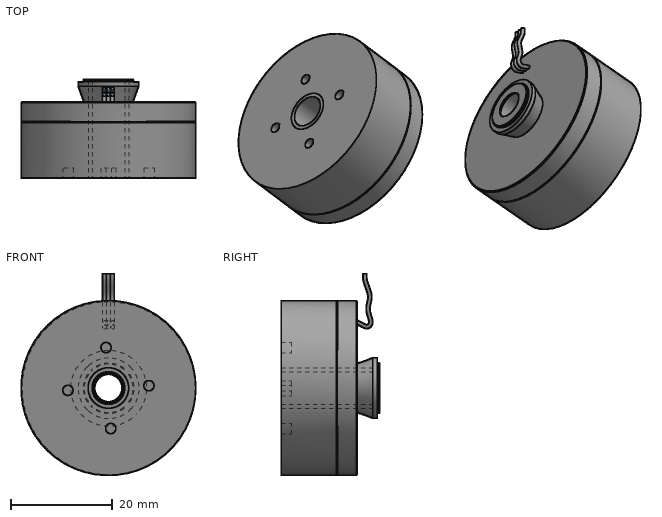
import cadquery as cq
import math


rotor_length = 10.9
air_gap = 0.2
base_front = rotor_length + air_gap
base_back = 15.0
rim_front = 18.1
sleeve_length = 18.98
total_length = 19.5

motor_diameter = 34.5
sleeve_outer = 8.0
sleeve_bore = 6.45
spacer_diameter = 14.95
hub_root_diameter = 9.7
hub_rim_diameter = 11.98
cap_diameter = 10.0
cap_bore = 5.37

base_chamfer = 0.2
cap_chamfer = 0.2
cap_bore_chamfer = 0.25

mount_hole_count = 4
mount_hole_diameter = 2.03
mount_hole_depth = 2.0
mount_circle_radius = 8.0
mount_first_angle = 3.3

overall_height = 39.8
wire_top = overall_height - motor_diameter / 2
wire_count = 3
wire_diameter = 0.8
wire_path = [
    (14.2, 13.3),
    (15.0, 12.95),
    (16.1, 12.37),
    (17.1, 12.1),
    (17.63, 12.6),
    (17.55, 13.8),
    (17.15, 15.68),
    (17.5, 17.9),
    (16.95, 20.05),
    (16.5, 21.65),
    (16.5, wire_top),
]


def disc(diameter, start, end):
    """Solid disc on the motor axis between two Y stations."""
    plane = cq.Workplane("XZ", origin=(0, end, 0))
    return plane.circle(diameter / 2).extrude(end - start)


def ring(outer, inner, start, end):
    """Disc with a concentric bore."""
    return disc(outer, start, end).cut(disc(inner, start, end))


def make_rotor():
    """Outer drum with blind mounting holes around the sleeve."""
    rotor = ring(motor_diameter, sleeve_outer, 0, rotor_length)
    for index in range(mount_hole_count):
        angle = math.radians(mount_first_angle + index * 360 / mount_hole_count)
        hole = disc(mount_hole_diameter, 0, mount_hole_depth).translate(
            (mount_circle_radius * math.cos(angle), 0, mount_circle_radius * math.sin(angle))
        )
        rotor = rotor.cut(hole)
    return rotor


def make_base():
    """Fixed plate behind the rotor, with a chamfered back rim."""
    plate = disc(motor_diameter, base_front, base_back).faces(">Y").edges().chamfer(base_chamfer)
    return plate.cut(disc(sleeve_outer, base_front, base_back))


def make_hub():
    """Conical hub that widens to a short cylindrical rim, turned about the motor axis."""
    profile = [
        (sleeve_outer / 2, base_back),
        (hub_root_diameter / 2, base_back),
        (hub_rim_diameter / 2, rim_front),
        (hub_rim_diameter / 2, sleeve_length),
        (sleeve_outer / 2, sleeve_length),
    ]
    return cq.Workplane("XY").polyline(profile).close().revolve(360, (0, 0, 0), (0, 1, 0))


def make_cap():
    """End ring against the hub and the sleeve, chamfered outside and at the bore entry."""
    cap = disc(cap_diameter, sleeve_length, total_length).faces(">Y").edges().chamfer(cap_chamfer)
    cap = cap.cut(disc(cap_bore, sleeve_length, total_length))
    bore_entry = cap.faces("<Y").edges(cq.selectors.RadiusNthSelector(0))
    return bore_entry.chamfer(cap_bore_chamfer)


def make_wire(x):
    """Round wire swept along its bent centreline, trimmed at the base plate, with a level free end."""
    start_y, start_z = wire_path[0]
    next_y, next_z = wire_path[1]
    start_direction = (next_y - start_y, next_z - start_z)
    end_direction = (0, 1)
    path = cq.Workplane("YZ", origin=(x, 0, 0)).spline(wire_path, tangents=[start_direction, end_direction])
    start_plane = cq.Plane(
        origin=(x, start_y, start_z),
        xDir=(1, 0, 0),
        normal=(0, *start_direction),
    )
    wire = cq.Workplane(start_plane).circle(wire_diameter / 2).sweep(path)
    return wire.cut(disc(motor_diameter, 0, base_back))


rotor = make_rotor()
sleeve = ring(sleeve_outer, sleeve_bore, 0, sleeve_length)
spacer = ring(spacer_diameter, sleeve_outer, rotor_length, base_front)
base = make_base()
hub = make_hub()
cap = make_cap()
wires = [make_wire((index - (wire_count - 1) / 2) * wire_diameter) for index in range(wire_count)]

result = cq.Compound.makeCompound(
    [
        rotor.val(),
        sleeve.val(),
        spacer.val(),
        base.val(),
        hub.val(),
        cap.val(),
        *[wire.val() for wire in wires],
    ]
)